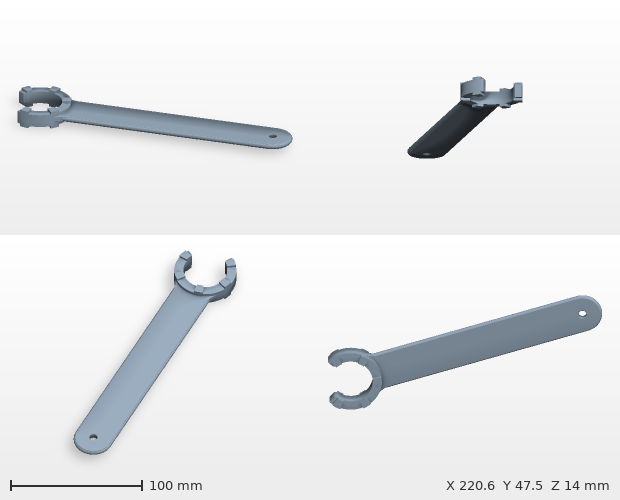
import cadquery as cq
import math

ring_outer_radius = 23.75
ring_inner_radius = 16.75
ring_middle_radius = (ring_inner_radius + ring_outer_radius) / 2
body_height = 10.0
tooth_height = 14.0

tooth_count = 5
tooth_pitch_angle = 60.0
tooth_width_angle = 17.0
first_tooth_angle = -105.0

mouth_start_angle = 150.0
mouth_end_angle = 240.0
jaw_chamfer = 1.75

handle_length = 200.0
handle_width = 30.0
handle_thickness = 4.5
rim_bulge = 1.0
face_edge_radius = 0.5
blend_radius = 20.0
blend_sink = 0.2
hang_hole_diameter = 6.0

hang_hole_x = handle_length - handle_width / 2
plate_half_width = handle_width / 2 - rim_bulge
plate_half_thickness = handle_thickness / 2
rim_half_height = plate_half_thickness - face_edge_radius


def polar(radius, angle):
    """Point in the XY plane at a radius and an angle in degrees."""
    radians = math.radians(angle)
    return radius * math.cos(radians), radius * math.sin(radians)


blend_end_y = plate_half_width - blend_sink
blend_centre_y = blend_end_y + blend_radius
blend_centre_distance = ring_outer_radius + blend_radius
blend_centre_x = math.sqrt(blend_centre_distance**2 - blend_centre_y**2)
tangent_angle = math.degrees(math.atan2(blend_centre_y, blend_centre_x))
tangent_x, tangent_y = polar(ring_outer_radius, tangent_angle)

rounding_diagonal = face_edge_radius * math.sqrt(0.5)


def ring_sector(start_angle, end_angle, height):
    """Part of the ring between two angles, centred on the XY plane."""
    middle_angle = (start_angle + end_angle) / 2
    return (
        cq.Workplane("XY")
        .workplane(offset=-height / 2)
        .moveTo(*polar(ring_inner_radius, start_angle))
        .lineTo(*polar(ring_outer_radius, start_angle))
        .threePointArc(polar(ring_outer_radius, middle_angle), polar(ring_outer_radius, end_angle))
        .lineTo(*polar(ring_inner_radius, end_angle))
        .threePointArc(polar(ring_inner_radius, middle_angle), polar(ring_inner_radius, start_angle))
        .close()
        .extrude(height)
    )


def gap_cutter(start_angle, end_angle):
    """Wedge that clears both ring faces between two angles, down to the body height."""
    reach = 2 * ring_outer_radius
    wedge = (
        cq.Workplane("XY")
        .workplane(offset=-tooth_height)
        .lineTo(*polar(reach, start_angle))
        .threePointArc(polar(reach, (start_angle + end_angle) / 2), polar(reach, end_angle))
        .close()
        .extrude(2 * tooth_height)
    )
    body_slab = cq.Workplane("XY").box(2 * reach, 2 * reach, body_height)
    return wedge.cut(body_slab)


def make_ring():
    """Open ring with chamfered jaws and gaps between the teeth on both faces."""
    ring = ring_sector(mouth_end_angle - 360, mouth_start_angle, tooth_height)
    for angle in (mouth_start_angle, mouth_end_angle):
        corner = polar(ring_inner_radius, angle)
        corner_edge = cq.selectors.NearestToPointSelector((*corner, 0))
        ring = ring.edges("|Z").edges(corner_edge).chamfer(jaw_chamfer)
    gap_angle = tooth_pitch_angle - tooth_width_angle
    for index in range(tooth_count + 1):
        gap_end = first_tooth_angle - tooth_width_angle / 2 + index * tooth_pitch_angle
        ring = ring.cut(gap_cutter(gap_end - gap_angle, gap_end))
    return ring


def bar_half_section():
    """+Y half of the bar's cross-section: its rim is a convex band between two small roundings."""
    half_width = plate_half_width + rim_bulge
    flat_half_width = plate_half_width - face_edge_radius
    rounding_y = flat_half_width + rounding_diagonal
    rounding_z = rim_half_height + rounding_diagonal
    return (
        cq.Workplane("YZ", origin=(hang_hole_x, 0, 0))
        .moveTo(0, -plate_half_thickness)
        .lineTo(flat_half_width, -plate_half_thickness)
        .threePointArc((rounding_y, -rounding_z), (plate_half_width, -rim_half_height))
        .threePointArc((half_width, 0), (plate_half_width, rim_half_height))
        .threePointArc((rounding_y, rounding_z), (flat_half_width, plate_half_thickness))
        .lineTo(0, plate_half_thickness)
        .close()
    )


def make_bar():
    """Straight bar with a round end."""
    half_bar = bar_half_section().extrude(tangent_x - hang_hole_x)
    round_end = bar_half_section().revolve(180, (0, 0), (0, -1))
    return half_bar.union(half_bar.mirror("XZ")).union(round_end)


def make_flare():
    """Plate that widens from the bar to meet the ring tangentially on both sides."""
    root_x, root_y = polar(ring_middle_radius, tangent_angle)
    middle_offset_x, middle_offset_y = polar(blend_radius, (tangent_angle + 180 + 270) / 2)
    middle_x = blend_centre_x + middle_offset_x
    middle_y = blend_centre_y + middle_offset_y
    flare = (
        cq.Workplane("XY")
        .workplane(offset=-plate_half_thickness)
        .moveTo(root_x, -root_y)
        .lineTo(tangent_x, -tangent_y)
        .threePointArc((middle_x, -middle_y), (blend_centre_x, -blend_end_y))
        .lineTo(blend_centre_x, blend_end_y)
        .threePointArc((middle_x, middle_y), (tangent_x, tangent_y))
        .lineTo(root_x, root_y)
        .threePointArc((ring_middle_radius, 0), (root_x, -root_y))
        .close()
        .extrude(handle_thickness)
    )
    for side in (-1, 1):
        for face in (-1, 1):
            blend_middle = (middle_x, side * middle_y, face * plate_half_thickness)
            blend_edge = cq.selectors.NearestToPointSelector(blend_middle)
            flare = flare.faces("|Z").edges("%CIRCLE").edges(blend_edge).fillet(face_edge_radius)
    return flare


def make_hang_hole():
    """Cutter for the hanging hole, flared to round the edges on both faces."""
    hole_radius = hang_hole_diameter / 2
    mouth_radius = hole_radius + face_edge_radius
    rounding_radius = mouth_radius - rounding_diagonal
    rounding_z = rim_half_height + rounding_diagonal
    return (
        cq.Workplane("XZ", origin=(hang_hole_x, 0, 0))
        .moveTo(0, -plate_half_thickness)
        .lineTo(mouth_radius, -plate_half_thickness)
        .threePointArc((rounding_radius, -rounding_z), (hole_radius, -rim_half_height))
        .lineTo(hole_radius, rim_half_height)
        .threePointArc((rounding_radius, rounding_z), (mouth_radius, plate_half_thickness))
        .lineTo(0, plate_half_thickness)
        .close()
        .revolve(360, (0, 0), (0, 1))
    )


def make_junction_fillet():
    """Concave fillets where both handle faces meet the outside of the ring."""
    fillet_top = plate_half_thickness + face_edge_radius
    fillet_outer_radius = ring_outer_radius + face_edge_radius
    fillet_middle_radius = fillet_outer_radius - rounding_diagonal
    fillet_middle_z = fillet_top - rounding_diagonal
    collar = (
        cq.Workplane("XZ")
        .moveTo(ring_middle_radius, 0)
        .lineTo(fillet_outer_radius, 0)
        .lineTo(fillet_outer_radius, plate_half_thickness)
        .threePointArc((fillet_middle_radius, fillet_middle_z), (ring_outer_radius, fillet_top))
        .lineTo(ring_middle_radius, fillet_top)
        .close()
        .revolve(360, (0, 0), (0, 1))
    )
    collar = collar.union(collar.mirror("XY"))
    flat_zone = cq.Workplane("XY").box(
        2 * ring_outer_radius, handle_width, tooth_height, centered=(False, True, True)
    )
    return collar.intersect(flat_zone)


def make_handle():
    """Bar and flare with the hanging hole, ending inside the ring wall."""
    ring_core = cq.Workplane("XY").circle(ring_middle_radius).extrude(handle_thickness, both=True)
    bar = make_bar().cut(make_hang_hole()).cut(ring_core)
    return bar.union(make_flare())


result = make_ring().union(make_handle()).union(make_junction_fillet())